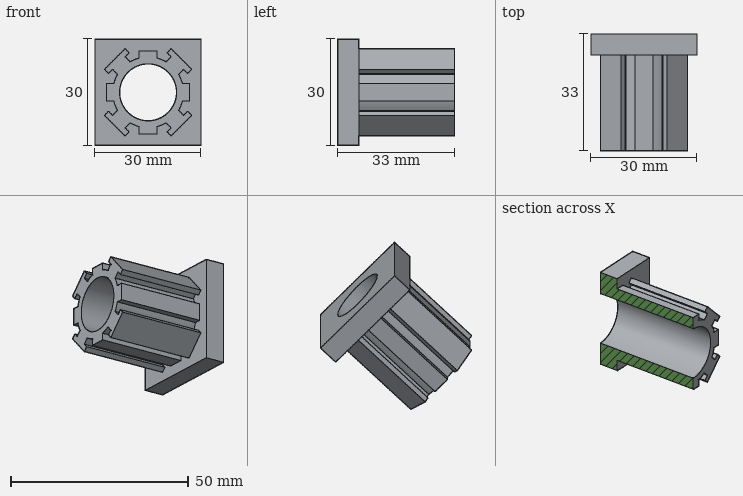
import cadquery as cq

total_length = 33
flange_side = 30.0
flange_thickness = 6.0
bore_diameter = 16.0
sleeve_diameter = 20.0
rib_width = 5.0
rib_reach = 11.7
head_width = 8.22
head_reach = 13.3
head_thickness = 1.62

sleeve_length = total_length - flange_thickness


def front_plane():
    """Workplane at the free end of the sleeve, with local Z along +Y."""
    return cq.Workplane("XZ").transformed(rotate=(180, 0, 0))


def radial_bar(inner, outer, width, angle):
    """Full-length bar spanning two distances from the axis, turned about it."""
    bar = (
        front_plane()
        .center((inner + outer) / 2, 0)
        .rect(outer - inner, width)
        .extrude(sleeve_length)
    )
    return bar.rotate((0, 0, 0), (0, 1, 0), angle)


flange = (
    front_plane()
    .workplane(offset=sleeve_length)
    .rect(flange_side, flange_side)
    .extrude(flange_thickness)
)
body = flange.union(front_plane().circle(sleeve_diameter / 2).extrude(sleeve_length))

bore_radius = bore_diameter / 2
for straight_angle in (0, 90, 180, 270):
    diagonal_angle = straight_angle + 45
    body = body.union(radial_bar(bore_radius, rib_reach, rib_width, straight_angle))
    body = body.union(radial_bar(bore_radius, head_reach, rib_width, diagonal_angle))
    head_base = head_reach - head_thickness
    body = body.union(radial_bar(head_base, head_reach, head_width, diagonal_angle))

bore = front_plane().circle(bore_radius).extrude(total_length)
result = body.cut(bore)